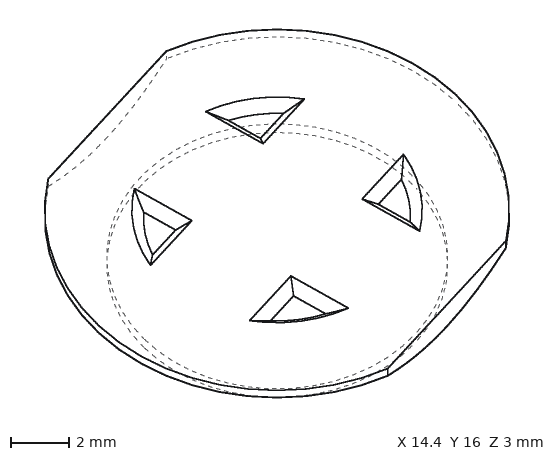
import cadquery as cq
import math

height = 3.0
rim_diameter = 16.0
base_diameter = 11.74
width_across_flats = 14.4
rim_thickness = 0.4

rim_radius = rim_diameter / 2
base_radius = base_diameter / 2
flank_height = rim_radius - base_radius
rim_bottom = height - rim_thickness
base_height = rim_bottom - flank_height

pocket_radius = 5.0
cross_half_width = 2.1
pocket_depth = 0.4
pocket_wall_angle = 45
pocket_count = 4


def make_disc():
    """Revolved base, conical flank and rim, trimmed by two flats along X."""
    profile = [
        (0, 0),
        (base_radius, 0),
        (base_radius, base_height),
        (rim_radius, rim_bottom),
        (rim_radius, height),
        (0, height),
    ]
    disc = cq.Workplane("XZ").polyline(profile).close().revolve(360, (0, 0), (0, 1))
    flats = cq.Workplane("XY").rect(width_across_flats, rim_diameter).extrude(height)
    return disc.intersect(flats)


def make_pocket():
    """Quadrant cutter whose walls all lean inward toward its floor."""
    arc_end = math.sqrt(pocket_radius**2 - cross_half_width**2)
    arc_middle = pocket_radius / math.sqrt(2)
    return (
        cq.Workplane("XY", origin=(0, 0, height))
        .moveTo(cross_half_width, cross_half_width)
        .lineTo(arc_end, cross_half_width)
        .threePointArc((arc_middle, arc_middle), (cross_half_width, arc_end))
        .close()
        .extrude(-pocket_depth, taper=pocket_wall_angle)
    )


result = make_disc()
pocket = make_pocket()
for index in range(pocket_count):
    result = result.cut(pocket.rotate((0, 0, 0), (0, 0, 1), 360 / pocket_count * index))